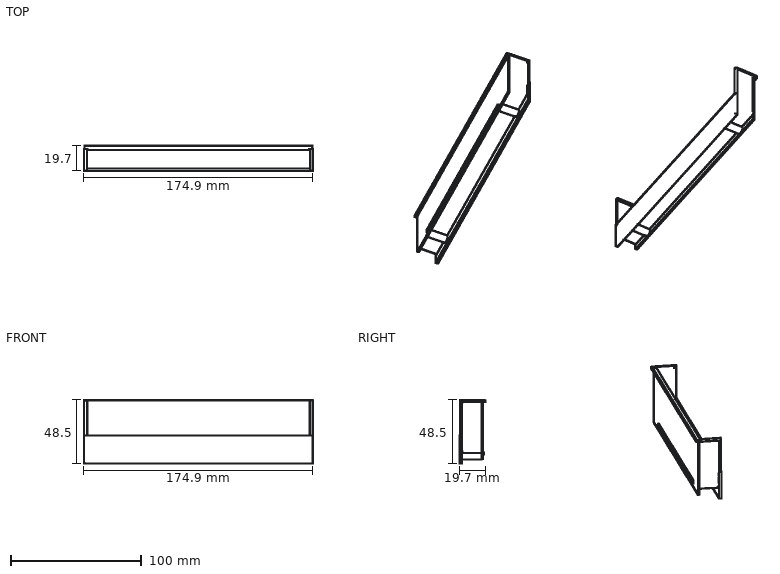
import cadquery as cq


length = 174.85
depth = 19.7
height = 48.5

front_thickness = 2.0
panel_height = 21.5
rim_setback = 0.5
rim_width = 2.2
rim_thickness = 1.5
rim_underside = height - rim_thickness
edge_radius = 0.35

housing_back = 16.9
wall_inset = 1.4
wall_root_radius = 0.4
floor_underside = 8.2
floor_top = 9.7
bend_outer_radius = 1.1
bend_inner_radius = 2.5

boss_radius = 3.0
boss_level = 6.1
boss_inset = 20.0

plate_back = 18.0
plate_inset = 1.3
plate_bottom = 3.5
plate_corner_radius = 1.2
lip_inset = 0.3
lip_chamfer = 0.5
pad_height = 0.5
pad_clearance = 0.4

ridge_radius = 1.7
ridge_height = 0.6
ridge_level = 7.8
ridge_inset = 20.0


def block(x_range, y_range, z_range):
    """A box given by its limits along each axis."""
    (x0, x1), (y0, y1), (z0, z1) = x_range, y_range, z_range
    box = cq.Workplane("XY").box(x1 - x0, y1 - y0, z1 - z0, centered=False)
    return box.translate((x0, y0, z0))


def make_blank():
    """Panel and rim at full length, with the block for the end walls and floor behind them."""
    panel = block((0, length), (0, front_thickness), (0, panel_height))
    panel = panel.faces("<Y").edges("<X or >X or <Z").fillet(edge_radius)
    upper = block((0, length), (rim_setback, housing_back), (panel_height, height))
    upper = upper.faces("<X or >X").edges("<Y or >Z").fillet(edge_radius)
    lower = block((0, length), (front_thickness, housing_back), (floor_underside, panel_height))
    return panel.union(upper).union(lower)


def make_end_relief():
    """Space outside the left end wall, behind the front and below the rim, around the bend."""
    wall_side = block((-wall_inset, wall_inset), (front_thickness, depth), (0, rim_underside))
    wall_side = wall_side.faces(">X").edges("<Y or >Z").fillet(wall_root_radius)
    bend_end = wall_inset + bend_outer_radius
    bend_top = floor_underside + bend_outer_radius
    bend = (
        cq.Workplane("XZ", origin=(0, front_thickness, 0))
        .moveTo(wall_inset, bend_top)
        .radiusArc((bend_end, floor_underside), -bend_outer_radius)
        .lineTo(wall_inset, floor_underside)
        .close()
        .extrude(front_thickness - depth)
    )
    return wall_side.union(bend)


def make_pocket():
    """Cavity of the housing: open at the top, the back and above the panel."""
    pocket = block(
        (rim_width, length - rim_width),
        (front_thickness, depth),
        (floor_top, height),
    )
    pocket = pocket.edges("|Y and <Z").fillet(bend_inner_radius)
    opening = block((rim_width, length - rim_width), (0, front_thickness), (panel_height, height))
    return pocket.union(opening)


def make_boss(x_centre):
    """Round bar along Y, ending at the underside of the floor."""
    start = cq.Vector(x_centre, front_thickness, boss_level)
    bar = cq.Solid.makeCylinder(boss_radius, housing_back - front_thickness, start, cq.Vector(0, 1, 0))
    below_floor = block((0, length), (0, depth), (0, floor_underside))
    return below_floor.intersect(cq.Workplane(bar))


def make_housing():
    left_relief = make_end_relief()
    right_relief = left_relief.mirror("YZ", (length / 2, 0, 0))
    housing = make_blank().cut(left_relief).cut(right_relief).cut(make_pocket())
    for x_centre in (boss_inset, length - boss_inset):
        housing = housing.union(make_boss(x_centre))
    return housing


def make_ridge():
    """Rounded ridge standing out from the rear face of the plate."""
    centre_y = plate_back + ridge_height - ridge_radius
    bar = cq.Workplane("YZ", origin=(ridge_inset, 0, 0)).center(centre_y, ridge_level)
    bar = bar.circle(ridge_radius).extrude(length - 2 * ridge_inset)
    return bar.intersect(block((0, length), (housing_back, depth), (0, height)))


def make_pad():
    """Raised pad that stands inside the pocket, resting on the floor."""
    side = rim_width + pad_clearance
    pad_front = housing_back - pad_height
    pad = block((side, length - side), (pad_front, housing_back), (floor_top, height))
    return pad.edges("|Y and <Z").fillet(bend_inner_radius)


def make_back_plate():
    plate = block((plate_inset, length - plate_inset), (housing_back, plate_back), (plate_bottom, height))
    plate = plate.edges("|Y and <Z").fillet(plate_corner_radius)
    lip = block((lip_inset, length - lip_inset), (housing_back, depth), (rim_underside, height))
    lip = lip.faces(">Z").edges(">Y").chamfer(lip_chamfer)
    return plate.union(lip).union(make_ridge()).union(make_pad())


housing = make_housing()
back_plate = make_back_plate()
result = cq.Compound.makeCompound([housing.solids().val(), back_plate.solids().val()])